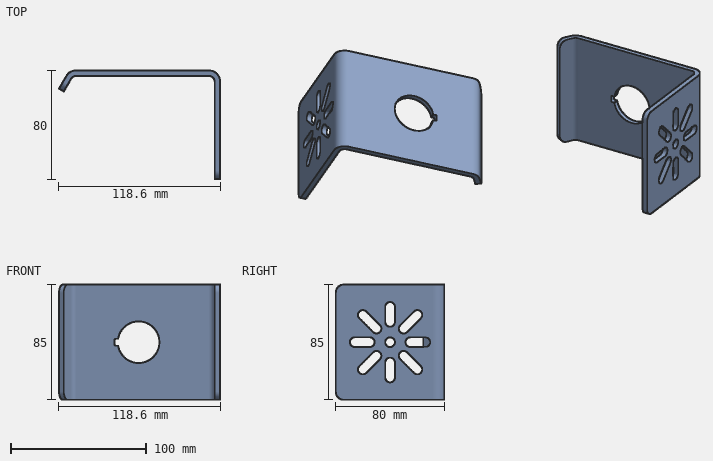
import cadquery as cq
import math

length = 118.6
depth = 80.0
height = 85.0

thickness = 4.2
inner_radius = 4.2
outer_radius = inner_radius + thickness
corner_radius = 5.9

lip_angle = math.radians(60.0)
lip_straight = 10.8

hole_diameter = 30.5
hole_to_leg_face = 60.0
key_width = 5.0
key_reach = 17.7
key_corner_radius = 0.8

slot_width = 7.0
straight_slot_start = 15.0
straight_slot_end = 26.0
diagonal_start_offset = 10.0
diagonal_end_offset = 20.0
slots_per_set = 4

leg_face_x = length / 2
leg_bend_x = leg_face_x - outer_radius
lip_bend_x = -length / 2 + outer_radius * math.sin(lip_angle) + lip_straight * math.cos(lip_angle)
bend_y = -outer_radius
pattern_y = -depth / 2


def lip_bend_point(radius, angle):
    """Point on the lip bend, with the angle measured from the plate end of the bend."""
    return (lip_bend_x - radius * math.sin(angle), bend_y + radius * math.cos(angle))


def leg_bend_point(radius, angle):
    """Point on the leg bend, with the angle measured from the plate end of the bend."""
    return (leg_bend_x + radius * math.sin(angle), bend_y + radius * math.cos(angle))


def lip_tip(radius):
    """End of the lip face that runs on from the bend of the given radius."""
    x, y = lip_bend_point(radius, lip_angle)
    return (x - lip_straight * math.cos(lip_angle), y - lip_straight * math.sin(lip_angle))


def folded_sheet():
    """Lip, plate and leg as one bent strip of constant thickness."""
    quarter = math.pi / 2
    profile = (
        cq.Workplane("XY", origin=(0, 0, -height / 2))
        .moveTo(*lip_tip(outer_radius))
        .lineTo(*lip_bend_point(outer_radius, lip_angle))
        .threePointArc(lip_bend_point(outer_radius, lip_angle / 2), lip_bend_point(outer_radius, 0))
        .lineTo(*leg_bend_point(outer_radius, 0))
        .threePointArc(leg_bend_point(outer_radius, quarter / 2), leg_bend_point(outer_radius, quarter))
        .lineTo(leg_face_x, -depth)
        .lineTo(leg_face_x - thickness, -depth)
        .lineTo(*leg_bend_point(inner_radius, quarter))
        .threePointArc(leg_bend_point(inner_radius, quarter / 2), leg_bend_point(inner_radius, 0))
        .lineTo(*lip_bend_point(inner_radius, 0))
        .threePointArc(lip_bend_point(inner_radius, lip_angle / 2), lip_bend_point(inner_radius, lip_angle))
        .lineTo(*lip_tip(inner_radius))
        .close()
    )
    return profile.extrude(height)


def round_free_corners(sheet):
    """Round the corners at the free ends of the leg and the lip."""
    sheet = sheet.edges("|X").edges("<Y").fillet(corner_radius)
    across_lip = cq.Vector(math.sin(lip_angle), -math.cos(lip_angle), 0)
    lip_edges = sheet.edges(cq.selectors.ParallelDirSelector(across_lip)).edges("<X")
    return lip_edges.fillet(corner_radius)


def keyed_hole():
    """Round hole with a rounded keyway on its -X side."""
    hole_x = leg_face_x - hole_to_leg_face
    back_plane = cq.Workplane("XZ", origin=(hole_x, 0, 0))
    bore = back_plane.circle(hole_diameter / 2).extrude(thickness)
    keyway = (
        back_plane.center(-key_reach / 2, 0)
        .rect(key_reach, key_width)
        .extrude(thickness)
        .edges("|Y and <X")
        .fillet(key_corner_radius)
    )
    return bore.union(keyway)


def radial_slots(leg_plane, first_angle, start, end):
    """One set of slots, evenly spaced round the pattern centre."""
    return (
        leg_plane.polarArray((start + end) / 2, first_angle, 360, slots_per_set)
        .slot2D(end - start + slot_width, slot_width)
        .extrude(thickness)
    )


def leg_openings():
    """Round centre hole with radial slots, alternately straight and diagonal."""
    leg_plane = cq.Workplane("YZ", origin=(leg_face_x - thickness, pattern_y, 0))
    centre_hole = leg_plane.circle(slot_width / 2).extrude(thickness)
    straight_slots = radial_slots(leg_plane, 0, straight_slot_start, straight_slot_end)
    diagonal_start = diagonal_start_offset * math.sqrt(2)
    diagonal_end = diagonal_end_offset * math.sqrt(2)
    diagonal_slots = radial_slots(leg_plane, 45, diagonal_start, diagonal_end)
    return centre_hole.union(straight_slots).union(diagonal_slots)


result = round_free_corners(folded_sheet()).cut(keyed_hole()).cut(leg_openings())